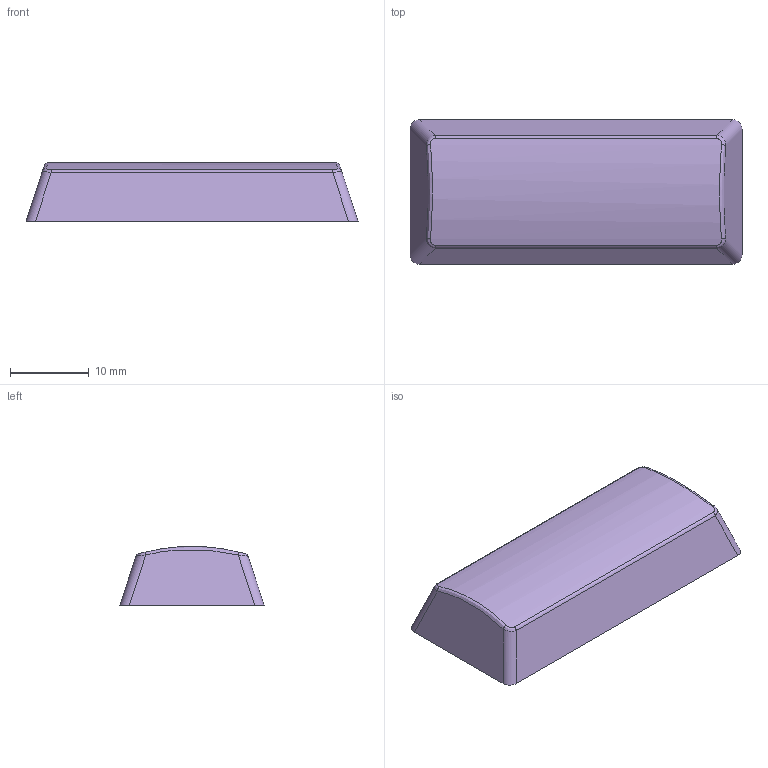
import cadquery as cq

length = 42.11
width = 18.3
height = 7.5

draft_angle = 18.0
corner_radius = 1.25

crown_radius = 25.0
rim_radius = 0.55


def tapered_body():
    """Solid block with leaning walls and rounded corners running up between them."""
    block = cq.Workplane("XY").rect(length, width).extrude(height, taper=draft_angle)
    corner_edges = block.edges("not(|X or |Y)")
    return corner_edges.fillet(corner_radius)


def crown_cylinder():
    """Cylinder along X whose highest line is the ridge of the crown."""
    axis_height = height - crown_radius
    return (
        cq.Workplane("YZ")
        .center(0, axis_height)
        .circle(crown_radius)
        .extrude(length / 2, both=True)
    )


def round_rim(cap):
    """Round the edge all round the crown, where it meets the walls."""
    return cap.faces(">Z").edges().fillet(rim_radius)


crowned_body = tapered_body().intersect(crown_cylinder())
result = round_rim(crowned_body)